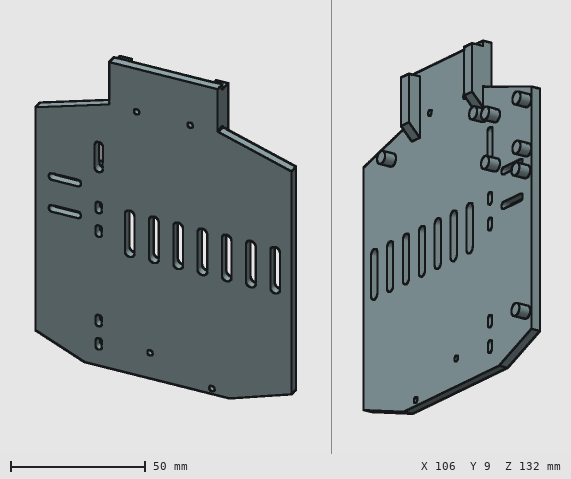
import cadquery as cq

WIDTH = 106.0
HEIGHT = 132.0
DEPTH = 9.0
PLATE_THICKNESS = 4.0

TAB_WIDTH = 44.9
TAB_BASE_Z = 114.0
TAB_BEVEL_WIDTH = 0.3
TAB_BEVEL_HEIGHT = 0.4
SHOULDER_Z = 104.5
LOWER_CORNER_Z = 8.5
BOTTOM_LEFT_X = -32.6
BOTTOM_RIGHT_X = 27.5

VENT_COUNT = 7
VENT_PITCH = 10.0
VENT_FIRST_X = -14.0
VENT_Z = 60.2
VENT_LENGTH = 19.9
VENT_WIDTH = 4.0

COLUMN_X = -26.8
COLUMN_LONG_Z = 89.9
COLUMN_LONG_LENGTH = 13.0
COLUMN_LONG_WIDTH = 3.3
COLUMN_SHORT_ZS = (68.1, 58.0, 19.4, 9.4)
COLUMN_SHORT_LENGTH = 4.9
COLUMN_SHORT_WIDTH = 2.5

LEVEL_SLOT_X = -40.8
LEVEL_SLOT_ZS = (76.4, 62.7)
LEVEL_SLOT_LENGTH = 13.3
LEVEL_SLOT_WIDTH = 2.8

HOLE_DIAMETER = 2.2
HOLE_CENTERS = ((-11.1, 113.5), (11.1, 113.5), (-5.5, 11.1), (20.0, 2.4))

PIN_DIAMETER = 5.0
PIN_CENTERS = (
    (-50.4, 99.7),
    (-30.6, 99.7),
    (-50.4, 80.1),
    (-30.6, 80.1),
    (-49.8, 71.7),
    (-49.8, 16.0),
    (-23.1, 102.0),
    (35.0, 102.0),
)

RIB_WIDTH = 5.0
RIB_TOP_Z = 129.9
RIB_SLOPE_Z = 110.6


def make_plate():
    half_width = WIDTH / 2
    half_tab = TAB_WIDTH / 2
    outline = [
        (BOTTOM_LEFT_X, 0),
        (BOTTOM_RIGHT_X, 0),
        (half_width, LOWER_CORNER_Z),
        (half_width, SHOULDER_Z),
        (half_tab + TAB_BEVEL_WIDTH, TAB_BASE_Z - TAB_BEVEL_HEIGHT),
        (half_tab, TAB_BASE_Z),
        (half_tab, HEIGHT),
        (-half_tab, HEIGHT),
        (-half_tab, TAB_BASE_Z),
        (-half_tab - TAB_BEVEL_WIDTH, TAB_BASE_Z - TAB_BEVEL_HEIGHT),
        (-half_width, SHOULDER_Z),
        (-half_width, LOWER_CORNER_Z),
    ]
    return cq.Workplane("XZ").polyline(outline).close().extrude(-PLATE_THICKNESS)


def slots(centers, length, width, angle):
    """Cutters for round-ended slots through the plate; angle 0 is level, 90 is upright."""
    outlines = cq.Workplane("XZ").pushPoints(centers).slot2D(length, width, angle)
    return outlines.extrude(-PLATE_THICKNESS)


def make_rib(left_x):
    """Rib that slopes at 45 degrees into the plate at its lower end."""
    profile = [
        (0, RIB_SLOPE_Z - DEPTH),
        (DEPTH, RIB_SLOPE_Z),
        (DEPTH, RIB_TOP_Z),
        (0, RIB_TOP_Z),
    ]
    return cq.Workplane("YZ", origin=(left_x, 0, 0)).polyline(profile).close().extrude(RIB_WIDTH)


vent_centers = [(VENT_FIRST_X + i * VENT_PITCH, VENT_Z) for i in range(VENT_COUNT)]
column_short_centers = [(COLUMN_X, z) for z in COLUMN_SHORT_ZS]
level_slot_centers = [(LEVEL_SLOT_X, z) for z in LEVEL_SLOT_ZS]

result = make_plate()
for rib_x in (-TAB_WIDTH / 2, TAB_WIDTH / 2 - RIB_WIDTH):
    result = result.union(make_rib(rib_x))

pins = cq.Workplane("XZ").pushPoints(PIN_CENTERS).circle(PIN_DIAMETER / 2).extrude(-DEPTH)
result = result.union(pins)

result = result.cut(slots(vent_centers, VENT_LENGTH, VENT_WIDTH, 90))
result = result.cut(slots([(COLUMN_X, COLUMN_LONG_Z)], COLUMN_LONG_LENGTH, COLUMN_LONG_WIDTH, 90))
result = result.cut(slots(column_short_centers, COLUMN_SHORT_LENGTH, COLUMN_SHORT_WIDTH, 90))
result = result.cut(slots(level_slot_centers, LEVEL_SLOT_LENGTH, LEVEL_SLOT_WIDTH, 0))

holes = cq.Workplane("XZ").pushPoints(HOLE_CENTERS).circle(HOLE_DIAMETER / 2).extrude(-PLATE_THICKNESS)
result = result.cut(holes)